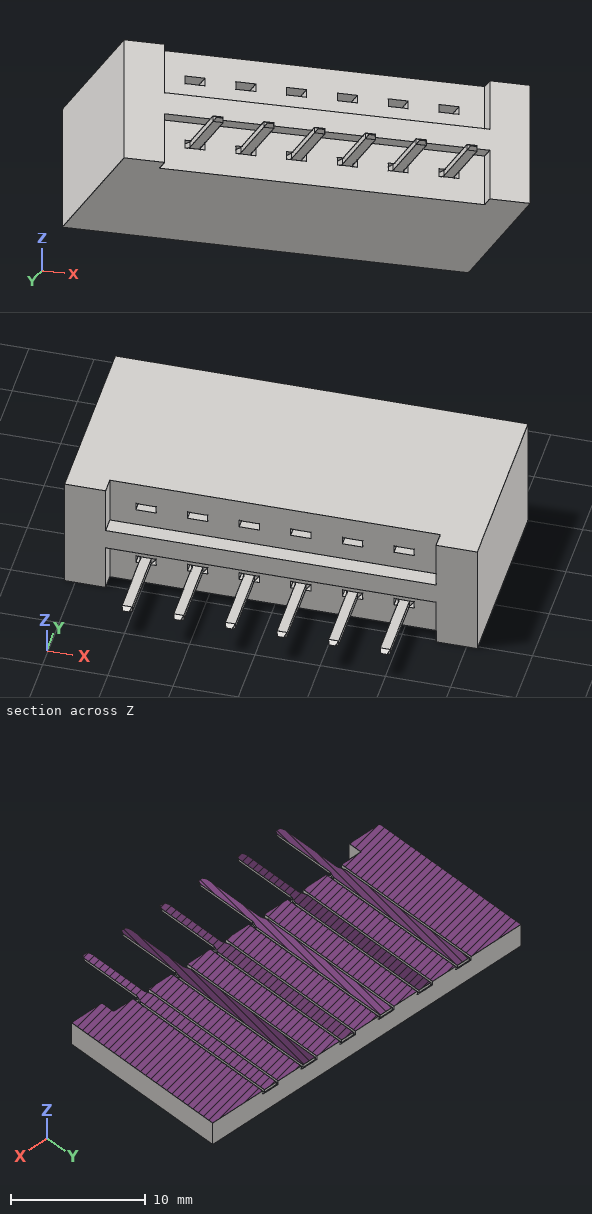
import cadquery as cq

HOUSING_WIDTH = 31.65
HOUSING_DEPTH = 15.25
HOUSING_HEIGHT = 9.4

RECESS_WIDTH = 25.32
RECESS_DEPTH = 1.27
RECESS_HEIGHT = 3.85

SLOT_COUNT = 6
SLOT_PITCH = 3.95
SLOT_WIDTH = 1.55
SLOT_HEIGHT = 0.6
ROW_INSET = 2.15

OVERALL_DEPTH = 20.05
PIN_THICKNESS = 0.45
TAIL_WIDTH = 0.8
TIP_LENGTH = 0.38
TIP_WIDTH = 0.47
TIP_THICKNESS = 0.03
BLADE_WIDTH = 1.27
SHOULDER_LENGTH = 0.63

PIN_REACH = OVERALL_DEPTH - HOUSING_DEPTH
LOWER_ROW_Z = ROW_INSET
UPPER_ROW_Z = HOUSING_HEIGHT - ROW_INSET
SLOT_POSITIONS = [(i - (SLOT_COUNT - 1) / 2) * SLOT_PITCH for i in range(SLOT_COUNT)]


def front_recess(bottom_z):
    """Cutter for one recess in the front face, from bottom_z upward."""
    return cq.Workplane("XY").box(
        RECESS_WIDTH, RECESS_DEPTH, RECESS_HEIGHT, centered=(True, False, False)
    ).translate((0, 0, bottom_z))


def slot_row(row_z):
    """Cutters for one row of slots through the full depth of the housing."""
    return (
        cq.Workplane("XZ")
        .pushPoints([(x, row_z) for x in SLOT_POSITIONS])
        .rect(SLOT_WIDTH, SLOT_HEIGHT)
        .extrude(-HOUSING_DEPTH)
    )


def make_housing():
    """Block with two front recesses and two rows of through slots."""
    block = cq.Workplane("XY").box(
        HOUSING_WIDTH, HOUSING_DEPTH, HOUSING_HEIGHT, centered=(True, False, False)
    )
    block = block.cut(front_recess(0)).cut(front_recess(HOUSING_HEIGHT - RECESS_HEIGHT))
    return block.cut(slot_row(LOWER_ROW_Z)).cut(slot_row(UPPER_ROW_Z))


def make_pin(x):
    """One pin in the lower row at x, running from the back face out past the front."""
    tip_base_y = TIP_LENGTH - PIN_REACH
    blade_y = RECESS_DEPTH + SHOULDER_LENGTH
    half_outline = [
        (TAIL_WIDTH / 2, tip_base_y),
        (TAIL_WIDTH / 2, RECESS_DEPTH),
        (BLADE_WIDTH / 2, blade_y),
        (BLADE_WIDTH / 2, HOUSING_DEPTH),
    ]
    mirrored_outline = [(-px, py) for px, py in reversed(half_outline)]
    shank = (
        cq.Workplane("XY", origin=(0, 0, -PIN_THICKNESS / 2))
        .polyline(half_outline + mirrored_outline)
        .close()
        .extrude(PIN_THICKNESS)
    )
    tip = (
        cq.Workplane("XZ", origin=(0, tip_base_y, 0))
        .rect(TAIL_WIDTH, PIN_THICKNESS)
        .workplane(offset=TIP_LENGTH)
        .rect(TIP_WIDTH, TIP_THICKNESS)
        .loft(ruled=True)
    )
    return shank.union(tip).translate((x, 0, LOWER_ROW_Z))


housing = make_housing()
pins = [make_pin(x) for x in SLOT_POSITIONS]

result = cq.Compound.makeCompound([housing.val(), *[pin.val() for pin in pins]])